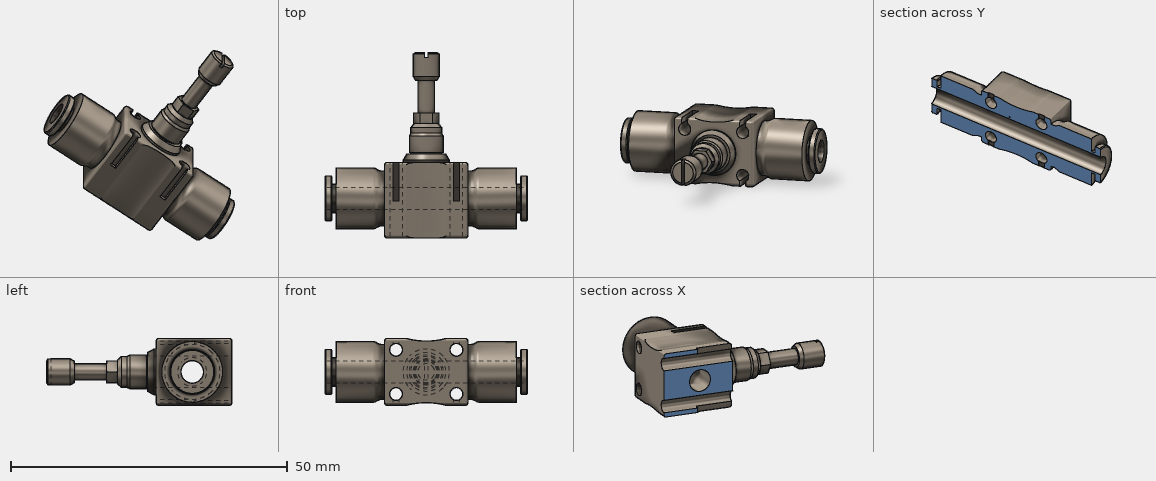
import cadquery as cq
import math


block_length = 15.1
block_height = 12.1
block_front = -7.18
block_back = 6.5
block_round = 0.5

waist_width = 7.18
waist_depth = 0.48

hole_diameter = 2.27
hole_offset_x = 5.45
hole_offset_z = 4.0
slot_width = 1.15
slot_front = -0.45

overall_length = 36.6
bore_diameter = 4.03
collar_radius = 4.05
collar_width = 1.28
collar_chamfer = 0.2
neck_radius = 2.6
sleeve_end = 16.3
sleeve_radius = 5.5
cone_start = 9.3
cone_angle = 30.0
shoulder_round = 0.8
root_radius = 4.98
root_round = 1.1

flange_radius = 4.17
flange_rim_end = 6.92
flange_top = 8.05
flange_top_radius = 3.5
groove_end = 8.27
bush_radius = 3.08
bush_end = 11.25
upper_bush_radius = 2.82
upper_bush_start = 11.8
upper_bush_end = 12.78
hex_start = 13.5
hex_end = 15.45
hex_across_flats = 4.0
hex_corner_radius = hex_across_flats / math.sqrt(3)
hex_chamfer_radius = 2.2
hex_chamfer_angle = 30.0
rod_radius = 1.5
knob_start = 21.3
knob_start_radius = 1.95
knob_taper_end = 22.05
knob_radius = 2.38
knob_end = 26.32
knob_chamfer_height = 0.25
knob_top_radius = 1.95
driver_slot_width = 0.55
driver_slot_depth = 0.85


def make_block():
    """Rounded block with the two waists."""
    depth = block_back - block_front
    block = (
        cq.Workplane("XY")
        .box(block_length, depth, block_height)
        .translate((0, (block_front + block_back) / 2, 0))
        .edges()
        .fillet(block_round)
    )
    half_width = waist_width / 2
    waist_radius = (half_width**2 + waist_depth**2) / (2 * waist_depth)
    waist_axis_z = block_height / 2 - waist_depth + waist_radius
    for side in (1, -1):
        waist = (
            cq.Workplane("XZ", origin=(0, block_back, 0))
            .center(0, side * waist_axis_z)
            .circle(waist_radius)
            .extrude(depth)
        )
        block = block.cut(waist)
    return block


def make_port():
    """Port on the +X end, reaching from the origin to the collar face."""
    cone_length = (sleeve_radius - root_radius) / math.tan(math.radians(cone_angle))
    sleeve = (
        cq.Workplane("XY")
        .lineTo(0, root_radius)
        .lineTo(cone_start - cone_length, root_radius)
        .lineTo(cone_start, sleeve_radius)
        .lineTo(sleeve_end, sleeve_radius)
        .lineTo(sleeve_end, 0)
        .close()
        .revolve(360, (0, 0, 0), (1, 0, 0))
    )
    sleeve = sleeve.faces("%CONE").edges(">X").fillet(shoulder_round)
    sleeve = sleeve.faces("%CONE").edges("<X").fillet(root_round)

    collar_start = overall_length / 2 - collar_width
    neck = (
        cq.Workplane("YZ", origin=(sleeve_end, 0, 0))
        .circle(neck_radius)
        .extrude(collar_start - sleeve_end)
    )
    collar = (
        cq.Workplane("YZ", origin=(collar_start, 0, 0))
        .circle(collar_radius)
        .extrude(collar_width)
        .edges()
        .chamfer(collar_chamfer)
    )
    return sleeve.union(neck).union(collar)


def make_hex_nut():
    """Hexagon with corners on the X axis, its corners chamfered at both ends."""
    hexagon = (
        cq.Workplane("XZ", origin=(0, hex_end, 0))
        .polygon(6, 2 * hex_corner_radius)
        .extrude(hex_end - hex_start)
    )
    corner_drop = (hex_corner_radius - hex_chamfer_radius) * math.tan(math.radians(hex_chamfer_angle))
    chamfer_envelope = (
        cq.Workplane("XY")
        .moveTo(0, hex_start)
        .lineTo(hex_chamfer_radius, hex_start)
        .lineTo(hex_corner_radius, hex_start + corner_drop)
        .lineTo(hex_corner_radius, hex_end - corner_drop)
        .lineTo(hex_chamfer_radius, hex_end)
        .lineTo(0, hex_end)
        .close()
        .revolve(360, (0, 0, 0), (0, 1, 0))
    )
    return hexagon.intersect(chamfer_envelope)


def make_stem():
    """Flange, bush, nut, rod and slotted knob; the foot is buried in the block."""
    turned = (
        cq.Workplane("XY")
        .moveTo(0, 0)
        .lineTo(flange_radius, 0)
        .lineTo(flange_radius, flange_rim_end)
        .lineTo(flange_top_radius, flange_top)
        .lineTo(upper_bush_radius, flange_top)
        .lineTo(upper_bush_radius, groove_end)
        .lineTo(bush_radius, groove_end)
        .lineTo(bush_radius, bush_end)
        .lineTo(upper_bush_radius, upper_bush_start)
        .lineTo(upper_bush_radius, upper_bush_end)
        .lineTo(hex_chamfer_radius, hex_start)
        .lineTo(rod_radius, hex_start)
        .lineTo(rod_radius, knob_start)
        .lineTo(knob_start_radius, knob_start)
        .lineTo(knob_radius, knob_taper_end)
        .lineTo(knob_radius, knob_end - knob_chamfer_height)
        .lineTo(knob_top_radius, knob_end)
        .lineTo(0, knob_end)
        .close()
        .revolve(360, (0, 0, 0), (0, 1, 0))
    )
    driver_slot = (
        cq.Workplane("XY")
        .box(driver_slot_width, 2 * driver_slot_depth, 2 * knob_radius)
        .translate((0, knob_end, 0))
    )
    return turned.union(make_hex_nut()).cut(driver_slot)


def cut_mounting_holes(body):
    """Four through holes, each with a slot from the hole centre out to the nearest face."""
    slot_length = block_back - slot_front
    slot_height = block_height / 2 - hole_offset_z
    for side_x in (1, -1):
        for side_z in (1, -1):
            x = side_x * hole_offset_x
            hole = (
                cq.Workplane("XZ", origin=(x, block_back, side_z * hole_offset_z))
                .circle(hole_diameter / 2)
                .extrude(block_back - block_front)
            )
            slot = (
                cq.Workplane("XY")
                .box(slot_width, slot_length, slot_height)
                .translate((x, (slot_front + block_back) / 2, side_z * (hole_offset_z + slot_height / 2)))
            )
            body = body.cut(hole).cut(slot)
    return body


bore = (
    cq.Workplane("YZ", origin=(-overall_length / 2, 0, 0))
    .circle(bore_diameter / 2)
    .extrude(overall_length)
)

port = make_port()
body = make_block().union(port).union(port.mirror("YZ")).union(make_stem())
result = cut_mounting_holes(body).cut(bore)